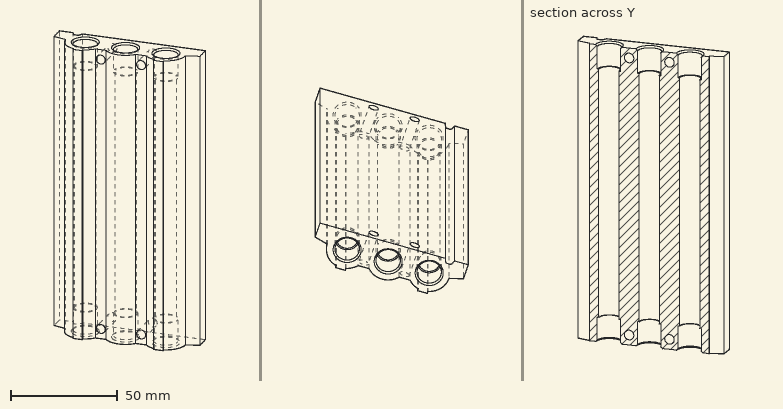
import cadquery as cq

width = 72.9
depth = 20.0
length = 146.0
back_y = depth / 2
front_y = -depth / 2

bore_pitch = 20.15
bore_y = back_y - 9.5
bore_xs = (-bore_pitch, 0, bore_pitch)
lobe_radius = 9.75

wing_edge_thickness = 7.7
web_thickness = 15.85
rib_width = 4.7

bore_diameter = 10.0
port_diameter = 11.45
port_mouth_diameter = 13.16
port_depth = 12.0
mouth_depth = (port_mouth_diameter - port_diameter) / 2

cross_hole_diameter = 4.5
cross_hole_x = bore_pitch / 2
cross_hole_z = length / 2 - 5.0

groove_x = -27.4
groove_top_width = 4.6
groove_floor_width = 2.6
groove_depth = 2.3
groove_floor_radius = 2.01 / 2


def prism(outline):
    """Extrude a closed XY outline over the whole length, centred on Z."""
    return outline.extrude(length / 2, both=True)


def make_slab():
    """Back slab whose side wings thicken toward the outer lobes."""
    half_width = width / 2
    root_x = bore_pitch + lobe_radius
    wing_edge_y = back_y - wing_edge_thickness
    outline = cq.Workplane("XY").polyline([
        (-half_width, back_y),
        (half_width, back_y),
        (half_width, wing_edge_y),
        (root_x, bore_y),
        (-root_x, bore_y),
        (-half_width, wing_edge_y),
    ])
    return prism(outline.close())


def make_bar(center_x, bar_width, y_min):
    """Full-length rectangular bar reaching from y_min back to the bore axes."""
    height = bore_y - y_min
    outline = cq.Workplane("XY").center(center_x, y_min + height / 2).rect(bar_width, height)
    return prism(outline)


def make_lobe(center_x):
    """Half-round wall around a bore, bulging toward -Y."""
    outline = cq.Workplane("XY").moveTo(center_x - lobe_radius, bore_y)
    outline = outline.threePointArc(
        (center_x, bore_y - lobe_radius),
        (center_x + lobe_radius, bore_y),
    )
    return prism(outline.close())


def make_body():
    web_y = back_y - web_thickness
    body = make_slab().union(make_bar(0, 2 * bore_pitch, web_y))
    for x in bore_xs:
        body = body.union(make_lobe(x))
    for x in (-bore_pitch, bore_pitch):
        body = body.union(make_bar(x, rib_width, front_y))
    return body


def make_bore(center_x):
    """Through bore with a port and a conical mouth at each end."""
    end_z = length / 2
    port_floor_z = end_z - port_depth
    bore_radius = bore_diameter / 2
    port_radius = port_diameter / 2
    mouth_radius = port_mouth_diameter / 2
    profile = cq.Workplane("XZ", origin=(center_x, bore_y, 0)).polyline([
        (0, 0),
        (bore_radius, 0),
        (bore_radius, port_floor_z),
        (port_radius, port_floor_z),
        (port_radius, end_z - mouth_depth),
        (mouth_radius, end_z),
        (0, end_z),
    ])
    upper_half = profile.close().revolve(360, (0, 0), (0, 1))
    return upper_half.union(upper_half.mirror("XY"))


def make_cross_holes():
    centers = [
        (x, z)
        for x in (-cross_hole_x, cross_hole_x)
        for z in (-cross_hole_z, cross_hole_z)
    ]
    circles = cq.Workplane("XZ").pushPoints(centers).circle(cross_hole_diameter / 2)
    return circles.extrude(depth, both=True)


def make_groove():
    """Full-length groove with sloping walls and rounded floor corners."""
    half_top = groove_top_width / 2
    half_floor = groove_floor_width / 2
    floor_y = back_y - groove_depth
    outline = cq.Workplane("XY").polyline([
        (groove_x - half_top, back_y),
        (groove_x - half_floor, floor_y),
        (groove_x + half_floor, floor_y),
        (groove_x + half_top, back_y),
    ])
    groove = prism(outline.close())
    return groove.faces("<Y").edges("|Z").fillet(groove_floor_radius)


result = make_body()
for bore_x in bore_xs:
    result = result.cut(make_bore(bore_x))
result = result.cut(make_cross_holes())
result = result.cut(make_groove())